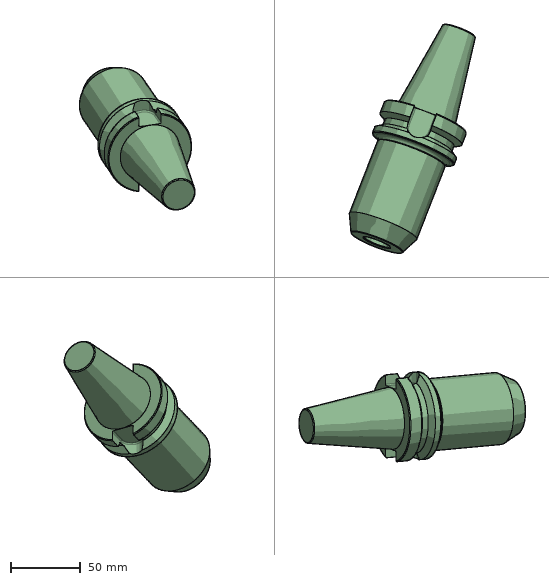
import cadquery as cq
import math

total_length = 165.4
flange_radius = 63.0 / 2

body_radius = 52.0 / 2
nose_radius = 20.0
nose_length = 12.7
nose_edge = 0.5
body_end = 69.1

relief_radius = 25.6
relief_step = 0.5
flare_radius = 2.6
land_radius = 29.8
land_inset = 0.2

flange_start = 72.8
flange_end = 97.9
flange_edge = 0.7
groove_radius = 26.6
groove_left_top = 77.7
groove_left_bottom = 81.0
groove_right_bottom = 85.7
groove_right_top = 88.7

taper_radius = 22.3
taper_slope = 7 / 48
shank_edge = 0.7

bore_radius = 20.0 / 2
bore_depth = 51.3
bore_chamfer = 0.7

slot_half_width = 8.5
slot_tip = 76.2
slot_floor = 22.5
slot_floor_fillet = 1.0


def make_body():
    """Revolved outer shape."""
    shank_radius = taper_radius - taper_slope * (total_length - flange_end)
    flare_end_x = flange_start - land_inset
    flare_end_radius = relief_radius + flare_radius
    flare_mid = (
        flare_end_x - flare_radius * (1 - math.sin(math.pi / 4)),
        flare_end_radius - flare_radius * math.cos(math.pi / 4),
    )
    profile = (
        cq.Workplane("XY")
        .moveTo(0, 0)
        .lineTo(0, nose_radius - nose_edge)
        .lineTo(nose_edge, nose_radius)
        .lineTo(nose_length, body_radius)
        .lineTo(body_end, body_radius)
        .lineTo(body_end + relief_step, relief_radius)
        .lineTo(flare_end_x - flare_radius, relief_radius)
        .threePointArc(flare_mid, (flare_end_x, flare_end_radius))
        .lineTo(flange_start, land_radius)
        .lineTo(flange_start, flange_radius - flange_edge)
        .lineTo(flange_start + flange_edge, flange_radius)
        .lineTo(groove_left_top, flange_radius)
        .lineTo(groove_left_bottom, groove_radius)
        .lineTo(groove_right_bottom, groove_radius)
        .lineTo(groove_right_top, flange_radius)
        .lineTo(flange_end - flange_edge, flange_radius)
        .lineTo(flange_end, flange_radius - flange_edge)
        .lineTo(flange_end, taper_radius)
        .lineTo(total_length - shank_edge, shank_radius + taper_slope * shank_edge)
        .lineTo(total_length, shank_radius - shank_edge)
        .lineTo(total_length, 0)
        .close()
    )
    return profile.revolve(360, (0, 0, 0), (1, 0, 0))


def make_bore():
    """Blind tool bore with a chamfered mouth."""
    return (
        cq.Workplane("XY")
        .lineTo(0, bore_radius + bore_chamfer)
        .lineTo(bore_chamfer, bore_radius)
        .lineTo(bore_depth, bore_radius)
        .lineTo(bore_depth, 0)
        .close()
        .revolve(360, (0, 0, 0), (1, 0, 0))
    )


def make_drive_slot():
    """Round-ended slot cutter, open toward the shank, with a filleted floor."""
    centre = slot_tip + slot_half_width
    return (
        cq.Workplane("XY")
        .workplane(offset=slot_floor)
        .moveTo(total_length, -slot_half_width)
        .lineTo(centre, -slot_half_width)
        .threePointArc((slot_tip, 0), (centre, slot_half_width))
        .lineTo(total_length, slot_half_width)
        .close()
        .extrude(flange_radius)
        .edges("<Z")
        .edges("not >X")
        .fillet(slot_floor_fillet)
    )


result = make_body().cut(make_bore())
for turn in (0, 180):
    result = result.cut(make_drive_slot().rotate((0, 0, 0), (1, 0, 0), turn))